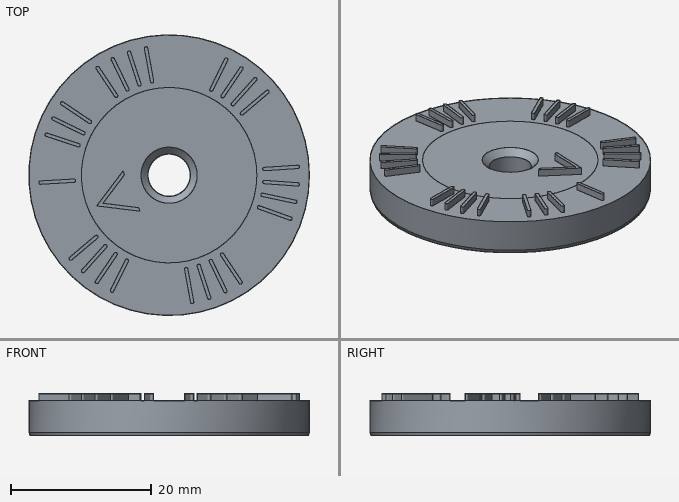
import cadquery as cq
import math

DISC_DIAMETER = 40
DISC_THICKNESS = 5.0
INSERT_DIAMETER = 25.0
RIM_CHAMFER_HEIGHT = 0.5
RIM_CHAMFER_INSET = 0.15

HOLE_DIAMETER = 6
COUNTERSINK_DIAMETER = 8
COUNTERSINK_ANGLE = 90

MARK_HEIGHT = 1.0
MARK_WIDTH = 0.5
TICK_INNER_RADIUS = 13.35
TICK_OUTER_RADIUS = 18.6
TICK_PITCH = 7.8
TICK_GROUP_SPACING = 60
FULL_GROUP_COUNT = 5
TICKS_PER_FULL_GROUP = 4
FIRST_FULL_GROUP_ANGLE = 112
SHORT_GROUP_ANGLE = 153.9
TICKS_IN_SHORT_GROUP = 3
SINGLE_TICK_ANGLE = 183.3

POINTER_ANGLE = 203
POINTER_OPENING = 60
POINTER_TIP_RADIUS = 11.2
POINTER_SIDE = 6.2


def tick_angles():
    """Directions of all scale ticks, in degrees anticlockwise from +X."""
    groups = [
        (FIRST_FULL_GROUP_ANGLE - i * TICK_GROUP_SPACING, TICKS_PER_FULL_GROUP)
        for i in range(FULL_GROUP_COUNT)
    ]
    groups.append((SHORT_GROUP_ANGLE, TICKS_IN_SHORT_GROUP))
    groups.append((SINGLE_TICK_ANGLE, 1))
    return [
        middle + (i - (count - 1) / 2) * TICK_PITCH
        for middle, count in groups
        for i in range(count)
    ]


def make_tick(angle):
    """Radial round-ended bar standing on the top face."""
    middle_radius = (TICK_INNER_RADIUS + TICK_OUTER_RADIUS) / 2
    return (
        cq.Workplane("XY", origin=(0, 0, DISC_THICKNESS))
        .center(middle_radius, 0)
        .slot2D(TICK_OUTER_RADIUS - TICK_INNER_RADIUS, MARK_WIDTH)
        .extrude(MARK_HEIGHT)
        .rotate((0, 0, 0), (0, 0, 1), angle)
    )


def make_scale_ring():
    """Outer ring with a bevelled lower rim and the raised scale ticks."""
    disc_radius = DISC_DIAMETER / 2
    insert_radius = INSERT_DIAMETER / 2
    ring = (
        cq.Workplane("XZ")
        .moveTo(insert_radius, 0)
        .lineTo(disc_radius - RIM_CHAMFER_INSET, 0)
        .lineTo(disc_radius, RIM_CHAMFER_HEIGHT)
        .lineTo(disc_radius, DISC_THICKNESS)
        .lineTo(insert_radius, DISC_THICKNESS)
        .close()
        .revolve(360, (0, 0, 0), (0, 1, 0))
    )
    for angle in tick_angles():
        ring = ring.union(make_tick(angle))
    return ring


def make_pointer():
    """Raised V whose legs are cut off square to its axis."""
    half_opening = math.radians(POINTER_OPENING / 2)
    leg_depth = POINTER_SIDE * math.cos(half_opening)
    outer_half_width = POINTER_SIDE * math.sin(half_opening)
    inner_tip_depth = MARK_WIDTH / math.sin(half_opening)
    inner_half_width = outer_half_width - MARK_WIDTH / math.cos(half_opening)
    leg_end = POINTER_TIP_RADIUS - leg_depth
    return (
        cq.Workplane("XY", origin=(0, 0, DISC_THICKNESS))
        .polyline([
            (POINTER_TIP_RADIUS, 0),
            (leg_end, outer_half_width),
            (leg_end, inner_half_width),
            (POINTER_TIP_RADIUS - inner_tip_depth, 0),
            (leg_end, -inner_half_width),
            (leg_end, -outer_half_width),
        ])
        .close()
        .extrude(MARK_HEIGHT)
        .rotate((0, 0, 0), (0, 0, 1), POINTER_ANGLE)
    )


def make_insert():
    """Centre disc with a countersunk through hole and the raised pointer."""
    return (
        cq.Workplane("XY")
        .circle(INSERT_DIAMETER / 2)
        .extrude(DISC_THICKNESS)
        .faces(">Z")
        .workplane()
        .cskHole(HOLE_DIAMETER, COUNTERSINK_DIAMETER, COUNTERSINK_ANGLE)
        .union(make_pointer())
    )


scale_ring = make_scale_ring()
insert = make_insert()
result = cq.Compound.makeCompound([scale_ring.val(), insert.val()])